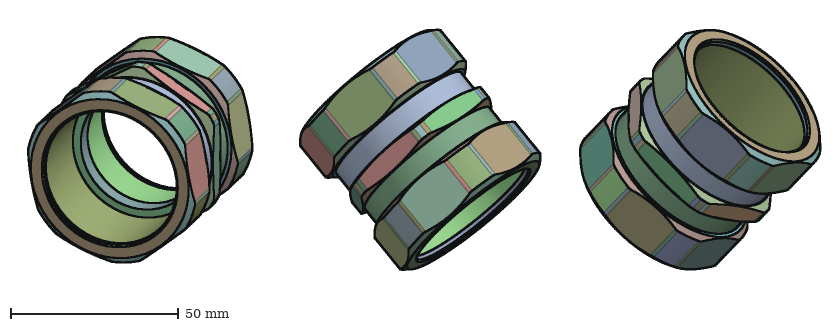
import cadquery as cq
import math

total_length = 51.2
hexagon_sides = 6
half_sector = 180 / hexagon_sides
corner_radius = 27.25
corner_blend = 3.15

nut_length = 15.25
nut_apothem = 25.55
nut_face_radius = 25.3
nut_chamfer_length = 1.5
nut_tilt = 10.0

collar_length = 6.55
collar_center_y = 0.2
collar_apothem = 24.45
collar_face_radius = 24.25
collar_chamfer_length = 1.1
collar_tilt = 0.0

tube_diameter = 48.1
socket_diameter = 42.6
bore_diameter = 37.5
front_socket_depth = 24.8
rear_socket_depth = 20.7
lip_diameter = 42.5
lip_depth = 2.0
mouth_chamfer = 0.55


def cylinder(y_start, length, diameter):
    """Cylinder along +Y starting at y_start."""
    plane = cq.Workplane("XZ", origin=(0, y_start, 0))
    return plane.circle(diameter / 2).extrude(-length)


def revolve_about_y(profile):
    """Solid of revolution about Y from (radius, y) points."""
    return cq.Workplane("XY").polyline(profile).close().revolve(360, (0, 0, 0), (0, 1, 0))


def turned_envelope(center_y, length, face_radius, chamfer_length):
    """Round blank with a conical chamfer at both ends."""
    half = length / 2
    profile = [
        (0, center_y - half),
        (face_radius, center_y - half),
        (corner_radius, center_y - half + chamfer_length),
        (corner_radius, center_y + half - chamfer_length),
        (face_radius, center_y + half),
        (0, center_y + half),
    ]
    return revolve_about_y(profile)


def chamfered_hexagon(center_y, length, apothem, tilt, face_radius, chamfer_length):
    """Hexagonal prism with rounded corners, turned to a conical chamfer at both ends."""
    y_start = center_y - length / 2
    across_corners = 2 * apothem / math.cos(math.radians(half_sector))
    prism = (
        cq.Workplane("XZ", origin=(0, y_start, 0))
        .polygon(hexagon_sides, across_corners)
        .extrude(-length)
        .rotate((0, 0, 0), (0, 1, 0), half_sector - tilt)
    )
    rounded = prism.intersect(cylinder(y_start, length, 2 * corner_radius))
    rounded = rounded.edges("|Y").fillet(corner_blend)
    envelope = turned_envelope(center_y, length, face_radius, chamfer_length)
    return rounded.intersect(envelope)


def nut(center_y):
    """Hexagonal end nut centred at center_y."""
    return chamfered_hexagon(
        center_y, nut_length, nut_apothem, nut_tilt, nut_face_radius, nut_chamfer_length
    )


def socket(depth):
    """Socket cavity opening at the +Y end, behind a slightly narrower chamfered lip."""
    end_y = total_length / 2
    lip_radius = lip_diameter / 2
    socket_radius = socket_diameter / 2
    profile = [
        (0, end_y),
        (lip_radius + mouth_chamfer, end_y),
        (lip_radius, end_y - mouth_chamfer),
        (lip_radius, end_y - lip_depth),
        (socket_radius, end_y - lip_depth),
        (socket_radius, end_y - depth),
        (0, end_y - depth),
    ]
    return revolve_about_y(profile)


nut_center_y = (total_length - nut_length) / 2
body = cylinder(-total_length / 2, total_length, tube_diameter)
for side in (-1, 1):
    body = body.union(nut(side * nut_center_y))
body = body.union(
    chamfered_hexagon(
        collar_center_y,
        collar_length,
        collar_apothem,
        collar_tilt,
        collar_face_radius,
        collar_chamfer_length,
    )
)

body = body.cut(cylinder(-total_length / 2, total_length, bore_diameter))
body = body.cut(socket(rear_socket_depth))
body = body.cut(socket(front_socket_depth).mirror("XZ"))

result = body